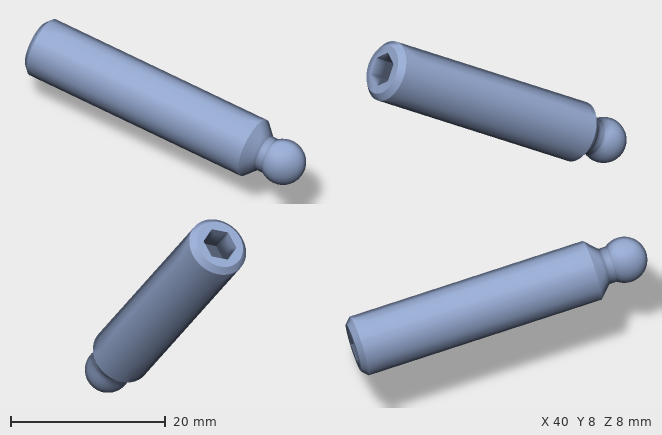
import cadquery as cq
import math

total_length = 40.0
body_radius = 4.0
end_chamfer = 0.75
shoulder_length = 1.6
neck_radius = 2.4
neck_length = 1.0
ball_radius = 3.0
socket_across_flats = 4.0
socket_depth = 4.0

ball_center = total_length - ball_radius
neck_end = ball_center - math.sqrt(ball_radius**2 - neck_radius**2)
neck_start = neck_end - neck_length
shoulder_start = neck_start - shoulder_length

half_profile = (
    cq.Workplane("XY")
    .lineTo(0, body_radius - end_chamfer)
    .lineTo(end_chamfer, body_radius)
    .lineTo(shoulder_start, body_radius)
    .lineTo(neck_start, neck_radius)
    .lineTo(neck_end, neck_radius)
    .threePointArc((ball_center, ball_radius), (total_length, 0))
    .close()
)
turned_body = half_profile.revolve(360, (0, 0, 0), (1, 0, 0))

socket_across_corners = socket_across_flats / math.cos(math.pi / 6)
socket = cq.Workplane("YZ").polygon(6, socket_across_corners).extrude(socket_depth)

result = turned_body.cut(socket)